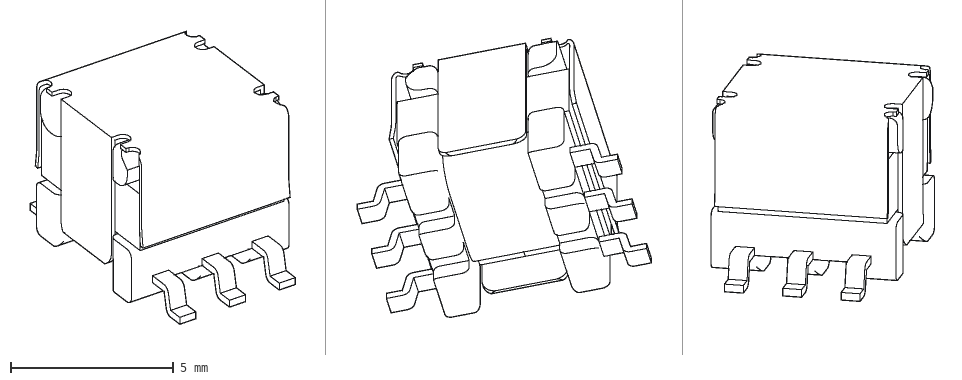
import cadquery as cq
import math


total_length_x = 8.26
total_width_y = 5.85
total_height_z = 5.57

core_half_x = 2.73
core_half_y = 2.67
core_height = 2.015
core_mid_z = 3.1325
core_back_thickness = 0.80
core_side_leg_thickness = 0.52
center_leg_half_y = 1.00
fit_gap = 0.035

bobbin_half_y = total_width_y / 2
bobbin_round = 0.25
cheek_inner_x = 1.435
bobbin_window_half_z = core_height / 2 + fit_gap
bar_outer_x = 2.394
bar_top_z = 5.425
bar_bottom_z = core_mid_z + bobbin_window_half_z
bar_lower_round = 0.52
bar_chamfer = 0.50
foot_outer_x = 2.625
foot_bottom_z = 0.196
foot_top_z = core_mid_z - bobbin_window_half_z
tube_half = 1.20

pin_width = 0.60
pin_thickness = 0.25
pin_pitch = 1.845
pin_arm_top_z = 1.00
pin_arm_bottom_z = pin_arm_top_z - pin_thickness
pin_knee_x = 3.258
pin_heel_x = 3.624
post_half_y = pin_width / 2 + bobbin_round

winding_build = 0.88

clip_thickness = 0.14
clip_skirt_outer_x = 2.90
clip_skirt_half_y = 2.73
clip_bend_radius = 0.40
skirt_bend_start_z = 3.08
skirt_bend_radius = 2.00
skirt_flare_angle = math.radians(7.2)
skirt_flare_length = 0.475
strap_half_x = 1.387
strap_outer_y = 2.838
strap_bend_start_z = 1.426
strap_bend_radius = 1.40
strap_flare_angle = math.radians(20)
strap_corner_radius = 0.45
slot_width = 0.50
slot_bottom_y = 2.335
relief_radius = 0.25
relief_center_x = 2.442
relief_center_y = 2.775
relief_blend_radius = 0.15


def box(x_range, y_range, z_range):
    (x0, x1), (y0, y1), (z0, z1) = x_range, y_range, z_range
    return cq.Workplane("XY").box(x1 - x0, y1 - y0, z1 - z0, centered=False).translate((x0, y0, z0))


def extrude_along_y(outline, half_length):
    """Solid from an XZ outline, centred on Y = 0."""
    return outline.extrude(half_length, both=True)


def make_core_half(side):
    back_inner_x = core_half_x - core_back_thickness
    window_half_y = core_half_y - core_side_leg_thickness
    z_range = (core_mid_z - core_height / 2, core_mid_z + core_height / 2)
    half = box((0, core_half_x), (-core_half_y, core_half_y), z_range)
    half = half.cut(box((0, back_inner_x), (-window_half_y, window_half_y), z_range))
    half = half.union(box((0, core_half_x), (-center_leg_half_y, center_leg_half_y), z_range))
    return half if side > 0 else half.mirror("YZ")


def square_prism(half_size):
    """Square bar along X between the two cheeks, centred on the coil axis."""
    plane = cq.Workplane("YZ", origin=(-cheek_inner_x, 0, core_mid_z))
    return plane.rect(2 * half_size, 2 * half_size).extrude(2 * cheek_inner_x)


def make_winding():
    """Tube outline offset outward, so the winding's corners are round."""
    outside = square_prism(tube_half + winding_build).edges("|X").fillet(winding_build)
    return outside.cut(square_prism(tube_half))


def make_upper_bar(chamfered):
    bar = box((cheek_inner_x, bar_outer_x), (-bobbin_half_y, bobbin_half_y), (bar_bottom_z, bar_top_z))
    top_edges = bar.edges(">Z").edges("not >X")
    inner_edges = bar.edges("|Z").edges("<X")
    bar = bar.newObject(top_edges.vals() + inner_edges.vals()).fillet(bobbin_round)
    outline = extrude_along_y(
        cq.Workplane("XZ")
        .moveTo(cheek_inner_x, bar_bottom_z)
        .lineTo(bar_outer_x - bar_lower_round, bar_bottom_z)
        .radiusArc((bar_outer_x, bar_bottom_z + bar_lower_round), -bar_lower_round)
        .lineTo(bar_outer_x, bar_top_z)
        .lineTo(cheek_inner_x, bar_top_z)
        .close(),
        bobbin_half_y,
    )
    if chamfered:
        outline = outline.edges(">X and >Z").chamfer(bar_chamfer)
    return bar.intersect(outline)


def make_foot():
    """Lower rail with three posts below the pins."""
    x_range = (cheek_inner_x, foot_outer_x)
    plan = box(x_range, (-bobbin_half_y, bobbin_half_y), (pin_arm_bottom_z, foot_top_z))
    post_z = (foot_bottom_z, pin_arm_bottom_z)
    middle_post = box(x_range, (-post_half_y, post_half_y), post_z)
    middle_post = middle_post.edges("|Z and >X").fillet(bobbin_round)
    end_post = box(x_range, (pin_pitch - post_half_y, bobbin_half_y), post_z)
    end_post = end_post.edges("|Z and >X and <Y").fillet(bobbin_round)
    plan = plan.union(middle_post).union(end_post).union(end_post.mirror("XZ"))
    plan = plan.edges("|Z and <X").edges("<Y or >Y").fillet(bobbin_round)
    outline = box(x_range, (-bobbin_half_y, bobbin_half_y), (foot_bottom_z, foot_top_z))
    outline = outline.edges("|Y").edges(">X or <Z").fillet(bobbin_round)
    return plan.intersect(outline)


def make_cheek():
    """Wall inside the core window joining the upper bar, the tube and the foot."""
    outer_x = core_half_x - core_back_thickness - fit_gap
    half_y = core_half_y - core_side_leg_thickness - fit_gap
    return box((cheek_inner_x, outer_x), (-half_y, half_y), (foot_top_z, bar_bottom_z))


def make_pin(y):
    knee = (pin_knee_x, pin_arm_bottom_z)
    heel = (pin_heel_x, pin_thickness)
    run = heel[0] - knee[0]
    drop = knee[1] - heel[1]
    slope = math.atan2(run, drop) - math.asin(pin_thickness / math.hypot(run, drop))

    def on_bend(center, angle, direction):
        return (
            center[0] + direction * pin_thickness * math.cos(angle),
            center[1] + direction * pin_thickness * math.sin(angle),
        )

    half_bend = (slope + math.pi / 2) / 2
    tip_x = total_length_x / 2
    outline = (
        cq.Workplane("XZ", origin=(0, y, 0))
        .moveTo(foot_outer_x - bobbin_round, pin_arm_top_z)
        .lineTo(pin_knee_x, pin_arm_top_z)
        .threePointArc(on_bend(knee, half_bend, 1), on_bend(knee, slope, 1))
        .lineTo(*heel)
        .lineTo(tip_x, pin_thickness)
        .lineTo(tip_x, 0)
        .lineTo(pin_heel_x, 0)
        .threePointArc(on_bend(heel, half_bend, -1), on_bend(heel, slope, -1))
        .lineTo(*knee)
        .lineTo(foot_outer_x - bobbin_round, pin_arm_bottom_z)
        .close()
    )
    return extrude_along_y(outline, pin_width / 2)


def make_bobbin():
    bobbin = square_prism(tube_half)
    side = make_foot().union(make_cheek())
    for row in (-1, 0, 1):
        side = side.union(make_pin(row * pin_pitch))
    bobbin = bobbin.union(side.union(make_upper_bar(chamfered=True)))
    bobbin = bobbin.union(side.union(make_upper_bar(chamfered=False)).mirror("YZ"))
    bore_half_y = center_leg_half_y + fit_gap
    bore = box((-core_half_x, core_half_x), (-bore_half_y, bore_half_y), (foot_top_z, bar_bottom_z))
    return bobbin.cut(bore)


def make_skirt():
    """Plate edge bent down at +X, ending in a slight outward flare."""
    inner_x = clip_skirt_outer_x - clip_thickness
    inner_bend_radius = skirt_bend_radius + clip_thickness
    bend_center_x = clip_skirt_outer_x + skirt_bend_radius

    def on_bend(radius, angle):
        return (bend_center_x - radius * math.cos(angle), skirt_bend_start_z - radius * math.sin(angle))

    def tip(radius):
        x, z = on_bend(radius, skirt_flare_angle)
        return (
            x + skirt_flare_length * math.sin(skirt_flare_angle),
            z - skirt_flare_length * math.cos(skirt_flare_angle),
        )

    half_angle = skirt_flare_angle / 2
    bend_start_x = clip_skirt_outer_x - clip_bend_radius
    plate_bottom_z = total_height_z - clip_thickness
    outline = (
        cq.Workplane("XZ")
        .moveTo(0, total_height_z)
        .lineTo(bend_start_x, total_height_z)
        .radiusArc((clip_skirt_outer_x, total_height_z - clip_bend_radius), clip_bend_radius)
        .lineTo(clip_skirt_outer_x, skirt_bend_start_z)
        .threePointArc(on_bend(skirt_bend_radius, half_angle), on_bend(skirt_bend_radius, skirt_flare_angle))
        .lineTo(*tip(skirt_bend_radius))
        .lineTo(*tip(inner_bend_radius))
        .lineTo(*on_bend(inner_bend_radius, skirt_flare_angle))
        .threePointArc(on_bend(inner_bend_radius, half_angle), (inner_x, skirt_bend_start_z))
        .lineTo(inner_x, total_height_z - clip_bend_radius)
        .radiusArc((bend_start_x, plate_bottom_z), -(clip_bend_radius - clip_thickness))
        .lineTo(0, plate_bottom_z)
        .close()
    )
    return extrude_along_y(outline, clip_skirt_half_y)


def make_strap():
    """Plate edge bent down at +Y, ending in an outward curl with round corners."""
    inner_y = strap_outer_y - clip_thickness
    inner_radius = strap_bend_radius + clip_thickness
    bend_center_y = strap_outer_y + strap_bend_radius

    def on_bend(radius, angle):
        return (bend_center_y - radius * math.cos(angle), strap_bend_start_z - radius * math.sin(angle))

    half_angle = strap_flare_angle / 2
    outline = (
        cq.Workplane("YZ")
        .moveTo(inner_y, total_height_z)
        .lineTo(strap_outer_y, total_height_z)
        .lineTo(strap_outer_y, strap_bend_start_z)
        .threePointArc(on_bend(strap_bend_radius, half_angle), on_bend(strap_bend_radius, strap_flare_angle))
        .lineTo(*on_bend(inner_radius, strap_flare_angle))
        .threePointArc(on_bend(inner_radius, half_angle), (inner_y, strap_bend_start_z))
        .close()
    )
    tip_z = on_bend(inner_radius, strap_flare_angle)[1]
    face_shape = (
        box((-strap_half_x, strap_half_x), (0, bobbin_half_y), (tip_z, total_height_z))
        .edges("|Y and <Z")
        .fillet(strap_corner_radius)
    )
    return outline.extrude(strap_half_x, both=True).intersect(face_shape)


def make_corner_cut():
    """Slot beside the strap and round relief at the skirt bend, for the +X +Y corner.

    Both run straight down, so the relief also trims the inner edge of the skirt.
    """
    plan = cq.Workplane("XY")
    slot_x = strap_half_x + slot_width / 2
    slot_round_y = slot_bottom_y + slot_width / 2
    slot = plan.center(slot_x, slot_round_y).circle(slot_width / 2).extrude(total_height_z)
    slot = slot.union(
        box(
            (strap_half_x, strap_half_x + slot_width),
            (slot_round_y, bobbin_half_y),
            (0, total_height_z),
        )
    )
    relief = plan.center(relief_center_x, relief_center_y).circle(relief_radius).extrude(total_height_z)
    blend_center_y = clip_skirt_half_y - relief_blend_radius
    center_distance = relief_radius + relief_blend_radius
    rise = relief_center_y - blend_center_y
    run = math.sqrt(center_distance**2 - rise**2)
    share = relief_radius / center_distance
    touch = (relief_center_x + share * run, relief_center_y - share * rise)
    blend = (
        plan.moveTo(*touch)
        .radiusArc((relief_center_x + run, clip_skirt_half_y), relief_blend_radius)
        .lineTo(relief_center_x, relief_center_y)
        .close()
        .extrude(total_height_z)
    )
    return slot.union(relief).union(blend)


def make_clip():
    skirt = make_skirt()
    strap = make_strap()
    ear_outer_x = relief_center_x - relief_radius
    plate_z = (total_height_z - clip_thickness, total_height_z)
    ears = box((-ear_outer_x, ear_outer_x), (-strap_outer_y, strap_outer_y), plate_z)
    clip = skirt.union(skirt.mirror("YZ")).union(ears)
    clip = clip.union(strap).union(strap.mirror("XZ"))
    rear_cut = make_corner_cut()
    for corner_cut in (rear_cut, rear_cut.mirror("XZ")):
        clip = clip.cut(corner_cut).cut(corner_cut.mirror("YZ"))
    return clip


core_halves = [make_core_half(side) for side in (-1, 1)]
bobbin = make_bobbin()
winding = make_winding()
clip = make_clip()

result = cq.Compound.makeCompound(
    [
        *[half.solids().val() for half in core_halves],
        bobbin.solids().val(),
        winding.solids().val(),
        clip.solids().val(),
    ]
)